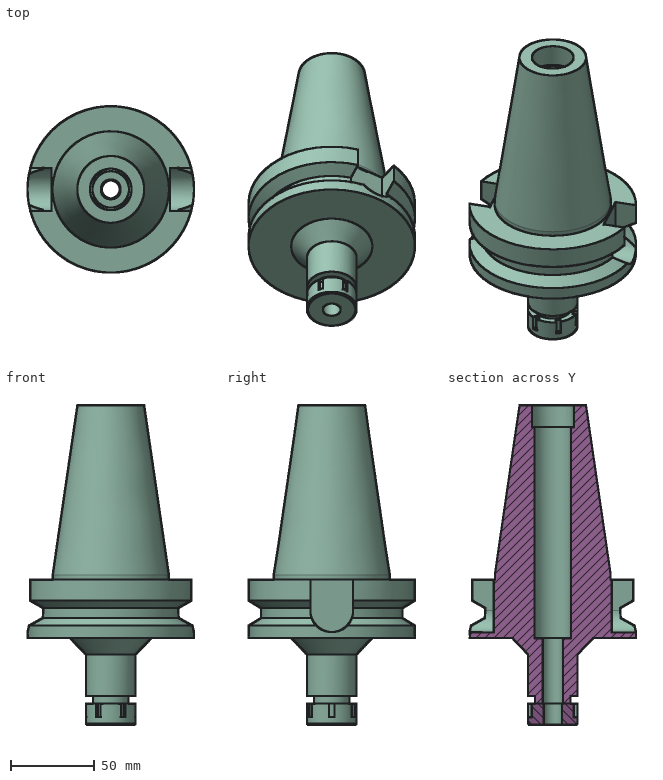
import cadquery as cq

OVERALL_HEIGHT = 191.8
GAUGE_Z = 90.0
FLANGE_TOP = 87.0
GROOVE_UPPER_EDGE = 74.5
GROOVE_FLOOR_TOP = 70.0
GROOVE_FLOOR_BOTTOM = 64.0
GROOVE_LOWER_EDGE = 59.5
FLANGE_BOTTOM = 52.0
CONE_BOTTOM = 42.2
SHANK_BOTTOM = 17.3
NUT_HEIGHT = 12.7

FLANGE_RADIUS = 100.0 / 2
GROOVE_RADIUS = 42.5
GAUGE_RADIUS = 35.0
TAPER_RATIO = 7 / 24
TAPER_TOP_RADIUS = GAUGE_RADIUS - (OVERALL_HEIGHT - GAUGE_Z) * TAPER_RATIO / 2
CONE_RADIUS = 24.4
SHANK_RADIUS = 15.0
NECK_RADIUS = 10.7

MOUTH_RADIUS = 12.5
MOUTH_DEPTH = 13.2
BORE_RADIUS = 11.0
BORE_FLOOR = FLANGE_BOTTOM
HOLDER_HOLE_RADIUS = 6.0

DRIVE_SLOT_WIDTH = 25.7
DRIVE_SLOT_BOTTOM = 55.6
DRIVE_SLOT_FLOOR_X = 35.5

NUT_RADIUS = SHANK_RADIUS
NUT_HOLE_RADIUS = 5.4
NUT_CHAMFER = 0.8
WRENCH_SLOT_COUNT = 6
WRENCH_SLOT_WIDTH = 3.0
WRENCH_SLOT_HEIGHT = 8.0
WRENCH_SLOT_DEPTH = 2.3


def make_drive_slot(angle):
    """Round-bottomed slot cutter, open outward and upward."""
    radius = DRIVE_SLOT_WIDTH / 2
    center_z = DRIVE_SLOT_BOTTOM + radius
    return (
        cq.Workplane("YZ", origin=(DRIVE_SLOT_FLOOR_X, 0, 0))
        .moveTo(-radius, FLANGE_TOP)
        .lineTo(-radius, center_z)
        .threePointArc((0, DRIVE_SLOT_BOTTOM), (radius, center_z))
        .lineTo(radius, FLANGE_TOP)
        .close()
        .extrude(FLANGE_RADIUS - DRIVE_SLOT_FLOOR_X)
        .rotate((0, 0, 0), (0, 0, 1), angle)
    )


def make_holder():
    """Taper, grooved flange, shank and neck with a stepped bore."""
    profile = [
        (HOLDER_HOLE_RADIUS, NUT_HEIGHT),
        (NECK_RADIUS, NUT_HEIGHT),
        (NECK_RADIUS, SHANK_BOTTOM),
        (SHANK_RADIUS, SHANK_BOTTOM),
        (SHANK_RADIUS, CONE_BOTTOM),
        (CONE_RADIUS, FLANGE_BOTTOM),
        (FLANGE_RADIUS, FLANGE_BOTTOM),
        (FLANGE_RADIUS, GROOVE_LOWER_EDGE),
        (GROOVE_RADIUS, GROOVE_FLOOR_BOTTOM),
        (GROOVE_RADIUS, GROOVE_FLOOR_TOP),
        (FLANGE_RADIUS, GROOVE_UPPER_EDGE),
        (FLANGE_RADIUS, FLANGE_TOP),
        (GAUGE_RADIUS, FLANGE_TOP),
        (GAUGE_RADIUS, GAUGE_Z),
        (TAPER_TOP_RADIUS, OVERALL_HEIGHT),
        (MOUTH_RADIUS, OVERALL_HEIGHT),
        (MOUTH_RADIUS, OVERALL_HEIGHT - MOUTH_DEPTH),
        (BORE_RADIUS, OVERALL_HEIGHT - MOUTH_DEPTH),
        (BORE_RADIUS, BORE_FLOOR),
        (HOLDER_HOLE_RADIUS, BORE_FLOOR),
    ]
    body = cq.Workplane("XZ").polyline(profile).close().revolve(360, (0, 0), (0, 1))
    for angle in (0, 180):
        body = body.cut(make_drive_slot(angle))
    return body


def make_nut():
    """Nut with a chamfered bottom rim and wrench slots open at the top."""
    body = cq.Workplane("XY").circle(NUT_RADIUS).extrude(NUT_HEIGHT)
    body = body.faces("<Z").edges().chamfer(NUT_CHAMFER)
    body = body.cut(cq.Workplane("XY").circle(NUT_HOLE_RADIUS).extrude(NUT_HEIGHT))
    slot = (
        cq.Workplane("XY", origin=(NUT_RADIUS, 0, NUT_HEIGHT - WRENCH_SLOT_HEIGHT))
        .rect(2 * WRENCH_SLOT_DEPTH, WRENCH_SLOT_WIDTH)
        .extrude(WRENCH_SLOT_HEIGHT)
    )
    for index in range(WRENCH_SLOT_COUNT):
        angle = index * 360 / WRENCH_SLOT_COUNT
        body = body.cut(slot.rotate((0, 0, 0), (0, 0, 1), angle))
    return body


holder = make_holder()
nut = make_nut()
result = cq.Compound.makeCompound([holder.solids().val(), nut.solids().val()])